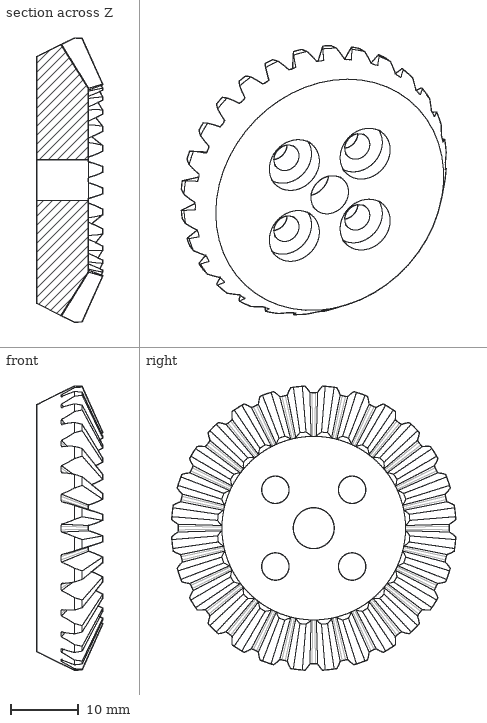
import math

import cadquery as cq

tooth_count = 28
gear_module = 1.5
pitch_radius = gear_module * tooth_count / 2
pitch_cone_angle = math.atan(2)
cone_distance = pitch_radius / math.sin(pitch_cone_angle)

pitch_edge_x = 5.57
rim_end_x = 6.70
web_front_x = 7.60
overall_width = 9.73
apex_x = pitch_edge_x + pitch_radius / math.tan(pitch_cone_angle)
back_cone_slope = 1 / math.tan(pitch_cone_angle)
back_radius = pitch_radius - pitch_edge_x * back_cone_slope

dedendum = 1.5 * gear_module
root_half_width = 0.25
root_corner_half_width = 0.575
root_corner_rise = 0.10
pitch_half_width = 1.29
space_top_height = 1.6
space_top_half_width = 2.03
space_outer_scale = 1.15
space_inner_scale = 0.45

bore_diameter = 6.0
bolt_circle_radius = 8.0
bolt_hole_count = 4
bolt_hole_diameter = 4.0
counterbore_diameter = 8.0
counterbore_depth = 3.0


def make_blank():
    """Revolve the conical blank about X: back cone, rim, face cone, front cone and flat web."""
    tip_front_radius = pitch_radius * (apex_x - overall_width) / (apex_x - rim_end_x)
    root_angle = pitch_cone_angle - math.atan(dedendum / cone_distance)
    root_front_radius = (apex_x - web_front_x) * math.tan(root_angle)
    return (
        cq.Workplane("XY")
        .polyline(
            [
                (0, 0),
                (0, back_radius),
                (pitch_edge_x, pitch_radius),
                (rim_end_x, pitch_radius),
                (overall_width, tip_front_radius),
                (web_front_x, root_front_radius),
                (web_front_x, 0),
            ]
        )
        .close()
        .revolve(360, (0, 0, 0), (1, 0, 0))
    )


def space_section(scale):
    """Closed wire of the tooth space, scaled about the cone apex."""

    def point(half_width, height):
        along = -cone_distance * math.cos(pitch_cone_angle) + height * math.sin(pitch_cone_angle)
        radius = cone_distance * math.sin(pitch_cone_angle) + height * math.cos(pitch_cone_angle)
        return cq.Vector(apex_x + scale * along, scale * half_width, scale * radius)

    def flank(side):
        return cq.Edge.makeThreePointArc(
            point(side * root_corner_half_width, root_corner_rise - dedendum),
            point(side * pitch_half_width, 0),
            point(side * space_top_half_width, space_top_height),
        )

    def root_corner(side):
        return cq.Edge.makeLine(
            point(side * root_half_width, -dedendum),
            point(side * root_corner_half_width, root_corner_rise - dedendum),
        )

    root = cq.Edge.makeLine(point(-root_half_width, -dedendum), point(root_half_width, -dedendum))
    top = cq.Edge.makeLine(
        point(space_top_half_width, space_top_height),
        point(-space_top_half_width, space_top_height),
    )
    return cq.Wire.assembleEdges([root, root_corner(1), flank(1), top, flank(-1), root_corner(-1)])


def cut_teeth(body):
    """Cut the equally spaced tooth spaces, the first one centred on +Z."""
    space = cq.Solid.makeLoft(
        [space_section(space_outer_scale), space_section(space_inner_scale)], True
    )
    spaces = []
    for index in range(tooth_count):
        angle = 360 * index / tooth_count
        spaces.append(space.rotate(cq.Vector(0, 0, 0), cq.Vector(1, 0, 0), angle))
    return cq.Workplane(body.val().cut(*spaces))


def cylinder_along_x(diameter, length, y=0, z=0):
    """Cylinder starting on the back face and running in +X."""
    return cq.Workplane("YZ").center(y, z).circle(diameter / 2).extrude(length)


def cut_holes(body):
    """Cut the centre bore and the bolt holes counterbored from the back face."""
    body = body.cut(cylinder_along_x(bore_diameter, overall_width))
    for index in range(bolt_hole_count):
        angle = 2 * math.pi * (index + 0.5) / bolt_hole_count
        y = bolt_circle_radius * math.cos(angle)
        z = bolt_circle_radius * math.sin(angle)
        body = body.cut(cylinder_along_x(bolt_hole_diameter, overall_width, y, z))
        body = body.cut(cylinder_along_x(counterbore_diameter, counterbore_depth, y, z))
    return body


result = cut_holes(cut_teeth(make_blank()))